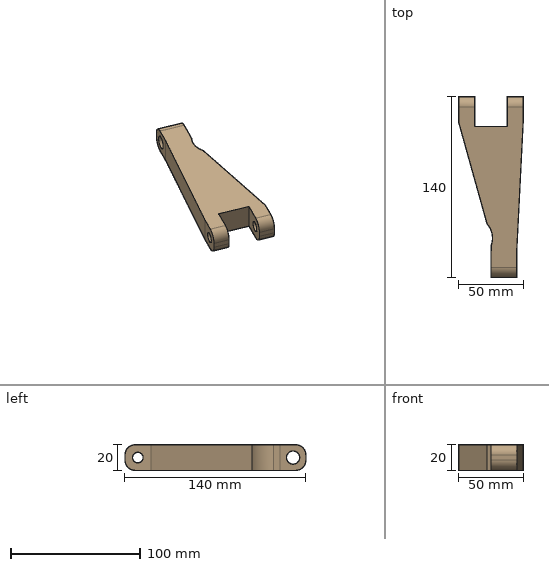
import cadquery as cq

length = 140.0
fork_width = 50.0
thickness = 20.0

lug_left = 25.0
lug_width = 20.0
lug_right = lug_left + lug_width
lug_length = 20.0
lug_hole_diameter = 10.0

cheek_length = 20.0
cheek_width = 12.5
slot_depth = 23.0
fork_hole_diameter = 8.0

end_radius = 8.0
pin_setback = 10.0

relief_start = (25.2, 25.2)
relief_deepest = (26.1, 31.0)
relief_end = (21.9, 41.6)

taper_top = length - cheek_length


def arm_body():
    """Plan outline of the tapered arm, extruded through the thickness."""
    return (
        cq.Workplane("XY")
        .moveTo(lug_left, 0)
        .lineTo(lug_left, lug_length)
        .lineTo(*relief_start)
        .threePointArc(relief_deepest, relief_end)
        .lineTo(0, taper_top)
        .lineTo(0, length)
        .lineTo(fork_width, length)
        .lineTo(fork_width, taper_top)
        .lineTo(lug_right, lug_length)
        .lineTo(lug_right, 0)
        .close()
        .extrude(thickness)
    )


def fork_slot():
    """Open slot that separates the two fork cheeks."""
    slot_width = fork_width - 2 * cheek_width
    return cq.Workplane("XY").box(slot_width, slot_depth, thickness, centered=False).translate(
        (cheek_width, length - slot_depth, 0)
    )


def cross_pin_hole(y, diameter):
    """Cylinder along X, across the full width at mid thickness."""
    return (
        cq.Workplane("YZ")
        .center(y, thickness / 2)
        .circle(diameter / 2)
        .extrude(fork_width)
    )


body = arm_body()
body = body.faces("<Y").edges("|X").fillet(end_radius)
body = body.faces(">Y").edges("|X").fillet(end_radius)

body = body.cut(fork_slot())
body = body.cut(cross_pin_hole(pin_setback, lug_hole_diameter))
body = body.cut(cross_pin_hole(length - pin_setback, fork_hole_diameter))

result = body.translate((-fork_width / 2, -length / 2, -thickness / 2))